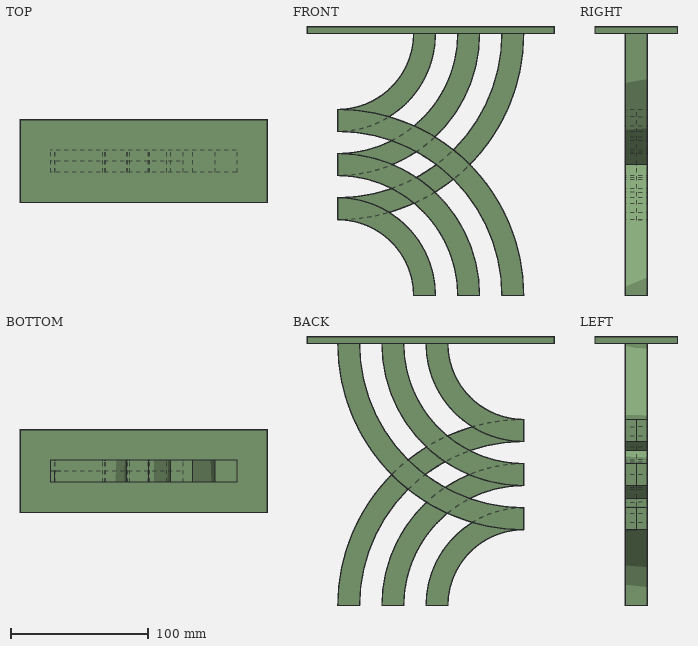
import cadquery as cq

BAR = 16.0
INNER_RADIUS = 55.0
ARCH_COUNT = 3
LAP_CLEARANCE = 0.1
PLATE_THICKNESS = 5.0
PLATE_WIDTH = 60.0
PLATE_OVERHANG = 22.0

radius_step = 2 * BAR
inner_radii = [INNER_RADIUS + i * radius_step for i in range(ARCH_COUNT)]
reach = inner_radii[-1] + BAR
upper_center_z = reach + INNER_RADIUS
plate_length = reach + 2 * PLATE_OVERHANG
front_y = -BAR / 2
back_y = BAR / 2
lap_y = 0


def quarter_ring(inner_radius, outer_radius, center_z, y_min, y_max, hanging):
    """Quarter ring in XZ about (0, center_z), on its +X side, above the center or hanging below it."""
    depth = y_max - y_min
    ring = (
        cq.Workplane("XZ", origin=(0, y_max, center_z))
        .circle(outer_radius)
        .circle(inner_radius)
        .extrude(depth)
    )
    quadrant_bottom = center_z - outer_radius if hanging else center_z
    quadrant = (
        cq.Workplane("XY", origin=(0, y_min, quadrant_bottom))
        .box(outer_radius, depth, outer_radius, centered=False)
    )
    return ring.intersect(quadrant)


def lower_bar(inner_radius, y_min=front_y, y_max=back_y, clearance=0):
    """Plain lower arch, optionally limited in Y and grown radially to shape a notch."""
    return quarter_ring(
        inner_radius - clearance, inner_radius + BAR + clearance, 0, y_min, y_max, hanging=False
    )


def upper_bar(inner_radius, y_min=front_y, y_max=back_y, clearance=0):
    """Plain upper arch, optionally limited in Y and grown radially to shape a notch."""
    return quarter_ring(
        inner_radius - clearance, inner_radius + BAR + clearance, upper_center_z, y_min, y_max, hanging=True
    )


def lower_arch(inner_radius):
    """Arch standing on its right end, notched on its +Y half where the upper arches cross it."""
    arch = lower_bar(inner_radius)
    for crossing_radius in inner_radii:
        arch = arch.cut(upper_bar(crossing_radius, y_min=lap_y, clearance=LAP_CLEARANCE))
    return arch


def upper_arch(inner_radius):
    """Arch hanging from the plate, notched on its -Y half where the lower arches cross it."""
    arch = upper_bar(inner_radius)
    for crossing_radius in inner_radii:
        arch = arch.cut(lower_bar(crossing_radius, y_max=lap_y, clearance=LAP_CLEARANCE))
    return arch


def top_plate():
    """Flat plate resting on the top ends of the upper arches."""
    return (
        cq.Workplane("XY", origin=(-PLATE_OVERHANG, -PLATE_WIDTH / 2, upper_center_z))
        .box(plate_length, PLATE_WIDTH, PLATE_THICKNESS, centered=False)
    )


plate = top_plate()
lower_arches = [lower_arch(radius).solids().val() for radius in inner_radii]
upper_arches = [upper_arch(radius).solids().val() for radius in inner_radii]

result = cq.Compound.makeCompound([plate.val(), *lower_arches, *upper_arches])